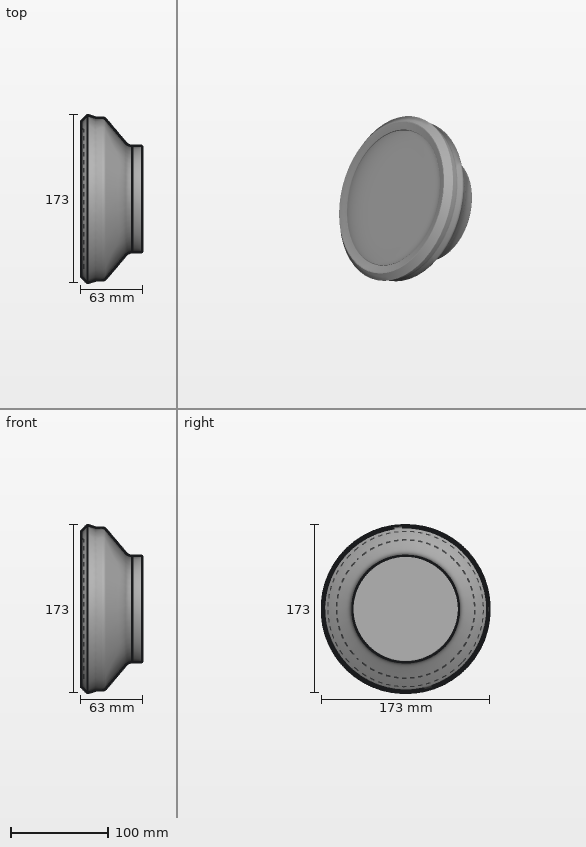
import cadquery as cq
import math

LENGTH = 63.0
MAX_RADIUS = 86.5
CREST_START_X = 6.4
CREST_WIDTH = 0.5
RIM_OUTER_RADIUS = 80.1
RIM_WIDTH = 0.9
BAND_RADIUS = 168.0 / 2
BAND_START_X = 14.9
BAND_START_FILLET = 1.4
BAND_END_X = 21.5
SHOULDER_FILLET_END_X = 25.5
COLLAR_RADIUS = 110.0 / 2
CONE_END_X = 45.8
BACK_FILLET = 1.9
GROOVE_RADIUS = 109.7 / 2
GROOVE_START_X = 52.0
GROOVE_WIDTH = 0.7
SEAT_RADIUS = 71.5
SEAT_GAP = 0.5
DISC_RADIUS = SEAT_RADIUS - SEAT_GAP
SEAT_MOUTH_X = 2.2
DISC_RECESS = 0.5
DISC_FACE_X = SEAT_MOUTH_X + DISC_RECESS
DISC_THICKNESS = 3.5

SHOULDER_LENGTH = SHOULDER_FILLET_END_X - BAND_END_X
NECK_LENGTH = GROOVE_START_X - CONE_END_X


def cone_slope_angle():
    """Angle between the cone and the axis that is tangent to both arcs.

    With half = tan(angle / 2), the total drop gives
    arcs * half + cone_run * tan(angle) = drop. With tan(angle) = 2 * half / (1 - half ** 2) this
    is a cubic in half, solved by bisection.
    """
    arcs = SHOULDER_LENGTH + NECK_LENGTH
    cone_run = CONE_END_X - SHOULDER_FILLET_END_X
    drop = BAND_RADIUS - COLLAR_RADIUS
    low, high = 0.0, math.pi / 2
    for _ in range(60):
        angle = (low + high) / 2
        if arcs * math.tan(angle / 2) + cone_run * math.tan(angle) < drop:
            low = angle
        else:
            high = angle
    return angle


def revolve_about_x(profile):
    return profile.close().revolve(360, (0, 0, 0), (1, 0, 0))


def make_housing():
    half_slope = math.tan(cone_slope_angle() / 2)
    cone_start_radius = BAND_RADIUS - SHOULDER_LENGTH * half_slope
    cone_end_radius = COLLAR_RADIUS + NECK_LENGTH * half_slope
    seat_floor_x = DISC_FACE_X + DISC_THICKNESS
    body = revolve_about_x(
        cq.Workplane("XY")
        .moveTo(seat_floor_x, 0)
        .lineTo(seat_floor_x, SEAT_RADIUS)
        .lineTo(SEAT_MOUTH_X, SEAT_RADIUS)
        .lineTo(0, RIM_OUTER_RADIUS - RIM_WIDTH)
        .lineTo(0, RIM_OUTER_RADIUS)
        .lineTo(CREST_START_X, MAX_RADIUS)
        .lineTo(CREST_START_X + CREST_WIDTH, MAX_RADIUS)
        .lineTo(BAND_START_X, BAND_RADIUS)
        .lineTo(BAND_END_X, BAND_RADIUS)
        .tangentArcPoint((SHOULDER_FILLET_END_X, cone_start_radius), relative=False)
        .lineTo(CONE_END_X, cone_end_radius)
        .tangentArcPoint((GROOVE_START_X, COLLAR_RADIUS), relative=False)
        .lineTo(LENGTH, COLLAR_RADIUS)
        .lineTo(LENGTH, 0)
    )
    body = body.faces(">X").edges().fillet(BACK_FILLET)
    band_start_edge = cq.selectors.NearestToPointSelector((BAND_START_X, 0, 0))
    body = body.edges(band_start_edge).fillet(BAND_START_FILLET)
    return body.cut(make_groove_ring())


def make_groove_ring():
    return (
        cq.Workplane("YZ", origin=(GROOVE_START_X, 0, 0))
        .circle(MAX_RADIUS)
        .circle(GROOVE_RADIUS)
        .extrude(GROOVE_WIDTH)
    )


def make_front_disc():
    return cq.Workplane("YZ", origin=(DISC_FACE_X, 0, 0)).circle(DISC_RADIUS).extrude(DISC_THICKNESS)


housing = make_housing()
front_disc = make_front_disc()

result = cq.Compound.makeCompound([housing.val(), front_disc.val()])